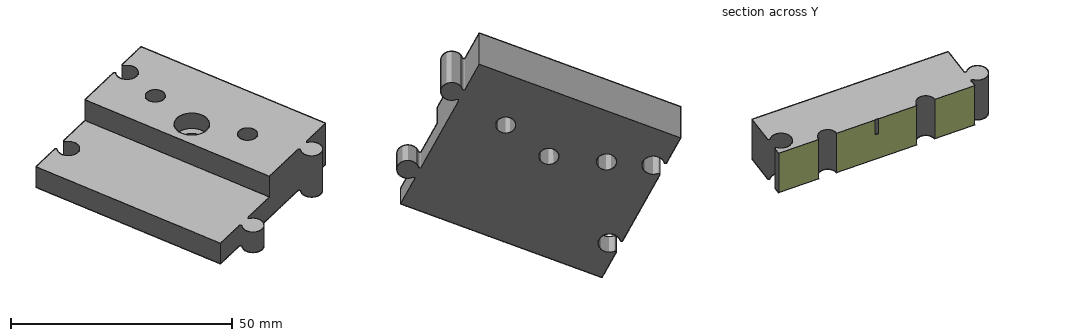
import cadquery as cq
import math

plate_length = 50.0
plate_width = 43.0
full_height = 12.0
ledge_height = full_height / 2
ledge_width = 20.0

overall_length = 55
tab_head_radius = (overall_length - plate_length) / 2
tab_neck_width = 3.0
neck_fillet = 0.2
fit_clearance = 0.05
connector_inset = 9.5
connector_positions = [connector_inset, plate_width - connector_inset]

hole_diameter = 4.5
side_hole_spacing = plate_length / 2
side_hole_y = 29.95
center_hole_y = 26.0
counterbore_diameter = 8.0
counterbore_depth = 4.45


def stepped_plate():
    """Plate with a low ledge along the front and a full-height block behind it."""
    base = cq.Workplane("XY").box(plate_length, plate_width, ledge_height, centered=False)
    block = (
        cq.Workplane("XY")
        .box(plate_length, plate_width - ledge_width, full_height, centered=False)
        .translate((0, ledge_width, 0))
    )
    return base.union(block)


def connector(edge_x, center_y, height, clearance=0):
    """Connector prism starting at edge_x and pointing along +X, grown by clearance."""
    head_x = tab_head_radius
    head_radius = tab_head_radius + clearance
    neck_half = tab_neck_width / 2 + clearance

    fillet_y = neck_half + neck_fillet
    head_fillet_x = head_x - math.sqrt((head_radius + neck_fillet) ** 2 - fillet_y**2)
    head_angle = math.atan2(fillet_y, head_x - head_fillet_x)

    def on_fillet(center_x, angle):
        """Point on a fillet circle; angle is measured from +X toward the neck."""
        return (center_x + neck_fillet * math.cos(angle), fillet_y - neck_fillet * math.sin(angle))

    def mirrored(point):
        return (point[0], -point[1])

    root_start = on_fillet(neck_fillet, math.pi)
    root_middle = on_fillet(neck_fillet, 3 * math.pi / 4)
    root_end = on_fillet(neck_fillet, math.pi / 2)
    head_start = on_fillet(head_fillet_x, math.pi / 2)
    head_middle = on_fillet(head_fillet_x, (math.pi / 2 + head_angle) / 2)
    head_end = on_fillet(head_fillet_x, head_angle)
    head_tip = (head_x + head_radius, 0)

    return (
        cq.Workplane("XY", origin=(edge_x, center_y, 0))
        .moveTo(*root_start)
        .threePointArc(root_middle, root_end)
        .lineTo(*head_start)
        .threePointArc(head_middle, head_end)
        .threePointArc(head_tip, mirrored(head_end))
        .threePointArc(mirrored(head_middle), mirrored(head_start))
        .lineTo(*mirrored(root_end))
        .threePointArc(mirrored(root_middle), mirrored(root_start))
        .close()
        .extrude(height)
    )


def height_at(y):
    """Height of the stepped plate at a given Y position."""
    return ledge_height if y < ledge_width else full_height


result = stepped_plate()

for y in connector_positions:
    result = result.union(connector(plate_length, y, height_at(y)))
    result = result.cut(connector(0, y, height_at(y), fit_clearance))

top_face = cq.Workplane("XY", origin=(plate_length / 2, 0, full_height))
side_holes = [(-side_hole_spacing / 2, side_hole_y), (side_hole_spacing / 2, side_hole_y)]
through_holes = (
    top_face.pushPoints(side_holes + [(0, center_hole_y)])
    .circle(hole_diameter / 2)
    .extrude(-full_height)
)
counterbore = (
    top_face.center(0, center_hole_y)
    .circle(counterbore_diameter / 2)
    .extrude(-counterbore_depth)
)
result = result.cut(through_holes).cut(counterbore)